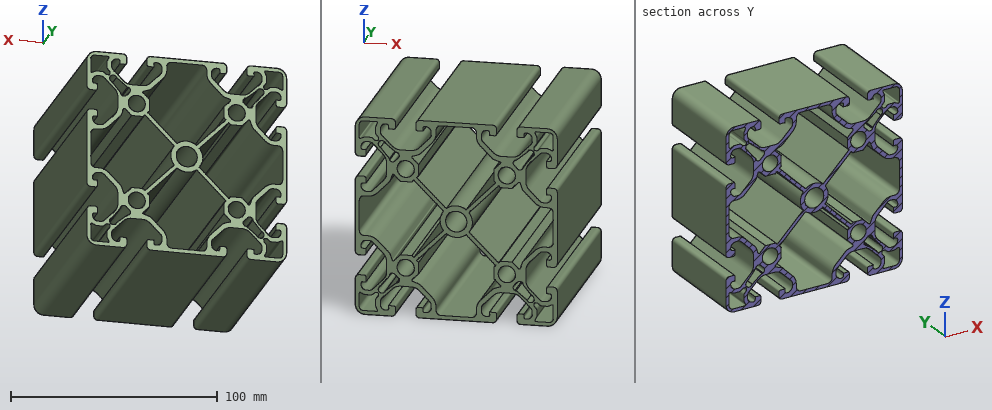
import cadquery as cq
import math

size = 100.0
half = size / 2
outer_corner_radius = 5.0
wall = 2.0

hub_offset = 25.0
hub_bore_diameter = 8.5
hub_half_width = 6.4
hub_web_reach = 9.5
center_bore_diameter = 10.5
center_ring_diameter = 16.0
web_thickness = 2.0

slot_half_opening = 5.0
lip_depth = 5.3
mouth_radius = 2.0
lip_radius = 1.0
mouth_clearance = 1.0
hook_half_width = 8.5
undercut_depth = 2.9
undercut_top_radius = 2.8
undercut_corner_radius = 1.0
slot_half_width = 12.6
slot_bend_radius = 2.5
slot_depth = 15.5
slot_floor_radius = 5.8
slot_flank_reach = 20.5

arm_half_width = 15.0
arm_flank_reach = 24.0
arm_floor_depth = 17.2
arm_bend_radius = 7.0
arm_floor_radius = 4.0
chamber_wall_radius = 2.5
chamber_notch_depth = 18.6
chamber_notch_radius = 0.5

pocket_corner_radius = 2.0
pocket_shoulder = 11.3
pocket_shoulder_radius = 0.5
pocket_waist = 10.1
pocket_waist_start = 4.6
pocket_waist_end = 8.3
pocket_waist_radius = 1.8
pocket_tip = 11.5
pocket_tip_bend = 9.8
pocket_tip_bend_radius = 1.0
pocket_tip_radius = 0.6

channel_end_radius = 1.8
channel_end_center = 13.2
channel_neck_half_width = 1.6
channel_floor_start = 20.3
channel_floor_depth = 17.0
channel_bend_radius = 2.0
channel_notch_radius = 1.5

hub_half_side = hub_half_width * math.tan(math.pi / 8)


def rounded_outline(corners):
    """Closed outline through (x, z, radius) corners; a radius of zero keeps the corner sharp."""
    count = len(corners)
    path = None
    for i, (x, z, radius) in enumerate(corners):
        corner = cq.Vector(x, z)
        before = (cq.Vector(*corners[i - 1][:2]) - corner).normalized()
        after = (cq.Vector(*corners[(i + 1) % count][:2]) - corner).normalized()
        half_angle = before.getAngle(after) / 2
        setback = radius / math.tan(half_angle)
        start = corner + before * setback
        if path is None:
            path = cq.Workplane("XZ").moveTo(start.x, start.y)
        else:
            path = path.lineTo(start.x, start.y)
        if radius > 0:
            bisector = (before + after).normalized()
            middle = corner + bisector * (radius / math.sin(half_angle) - radius)
            end = corner + after * setback
            path = path.threePointArc((middle.x, middle.y), (end.x, end.y))
    return path.close()


def prism(outline):
    """Outline run along the full length of the part."""
    return outline.extrude(half, both=True)


def around_axis(body):
    """The body and its three copies at quarter turns about the Y axis."""
    copies = body
    for turn in (90, 180, 270):
        copies = copies.union(body.rotate((0, 0, 0), (0, 1, 0), turn))
    return copies


def across_middle(corners):
    """Reflections of the corners in x = 0, in reverse order."""
    return [(-x, z, radius) for x, z, radius in reversed(corners)]


def slot_cutter():
    """Eight T-slots with rounded mouths, two on each side."""
    mouth_half_width = slot_half_opening + mouth_radius + mouth_clearance
    profile = [
        (mouth_half_width, -mouth_clearance, 0),
        (mouth_half_width, 0, 0),
        (slot_half_opening, 0, mouth_radius),
        (slot_half_opening, lip_depth, lip_radius),
        (hook_half_width, lip_depth, 0),
        (hook_half_width, undercut_depth, undercut_corner_radius),
        (slot_half_width, undercut_depth, undercut_top_radius),
        (slot_half_width, slot_flank_reach - slot_half_width, slot_bend_radius),
        (slot_flank_reach - slot_depth, slot_depth, slot_floor_radius),
    ]
    one_side = [(x, half - depth, radius) for x, depth, radius in profile]
    one_slot = prism(rounded_outline(one_side + across_middle(one_side)))
    left = one_slot.translate((-hub_offset, 0, 0))
    right = one_slot.translate((hub_offset, 0, 0))
    return around_axis(left.union(right))


def chamber_cutter():
    """Four side chambers, meeting at the middle of the part."""
    hub_chamfer_reach = hub_half_width + hub_half_side
    notch_x = hub_chamfer_reach - (hub_offset - chamber_notch_depth)
    from_hub = [
        (arm_half_width, wall, chamber_wall_radius),
        (arm_half_width, arm_flank_reach - arm_half_width, arm_bend_radius),
        (arm_flank_reach - arm_floor_depth, arm_floor_depth, arm_floor_radius),
        (notch_x, chamber_notch_depth, chamber_notch_radius),
        (hub_half_width, hub_offset - hub_half_side, 0),
        (hub_half_width, hub_offset + hub_web_reach - hub_half_width, 0),
        (hub_web_reach / 2, hub_offset + hub_web_reach / 2, 0),
    ]
    profile = [(x - hub_offset, half - depth, radius) for x, depth, radius in from_hub]
    outline = profile + [(0, 0, 0)] + across_middle(profile)
    return around_axis(prism(rounded_outline(outline)))


def across_diagonal(corners):
    """Reflections of the corners in the corner diagonal, in reverse order."""
    return [(z, x, radius) for x, z, radius in reversed(corners)]


def from_corner(corners):
    """Corners measured inward from the top left corner, as part coordinates."""
    return [(x - half, half - z, radius) for x, z, radius in corners]


def corner_pocket_cutter():
    """Waisted hollows behind the four outer corners."""
    one_side = [
        (pocket_shoulder, wall, pocket_shoulder_radius),
        (pocket_waist, pocket_waist_start, pocket_waist_radius),
        (pocket_waist, pocket_waist_end, pocket_waist_radius),
        (pocket_tip, pocket_tip_bend, pocket_tip_bend_radius),
    ]
    outline = [(wall, wall, pocket_corner_radius)]
    outline += one_side
    outline.append((pocket_tip, pocket_tip, pocket_tip_radius))
    outline += across_diagonal(one_side)
    return around_axis(prism(rounded_outline(from_corner(outline))))


def channel_cutter():
    """Diagonal channels from the corner pockets to the chamfer faces of the hubs."""
    hub_face_sum = 2 * hub_offset - hub_half_width - hub_half_side
    neck_offset = channel_neck_half_width / math.sqrt(2)
    floor = channel_floor_depth
    one_side = [
        (channel_end_center + neck_offset, channel_end_center - neck_offset, 0),
        (channel_floor_start, floor, channel_bend_radius),
        (hub_face_sum - floor, floor, channel_notch_radius),
    ]
    body = prism(rounded_outline(from_corner(one_side + across_diagonal(one_side))))
    end = prism(
        cq.Workplane("XZ")
        .center(channel_end_center - half, half - channel_end_center)
        .circle(channel_end_radius)
    )
    return around_axis(body.union(end))


def webs_and_ring():
    """Diagonal webs joining the hubs to a ring on the central axis."""
    span = 2 * math.sqrt(2) * hub_offset
    web = prism(cq.Workplane("XZ").rect(span, web_thickness))
    ring = prism(cq.Workplane("XZ").circle(center_ring_diameter / 2))
    for angle in (45, 135):
        ring = ring.union(web.rotate((0, 0, 0), (0, 1, 0), angle))
    return ring


def bores():
    """Round holes through the four hubs and the central ring."""
    hubs = prism(
        cq.Workplane("XZ")
        .rect(2 * hub_offset, 2 * hub_offset, forConstruction=True)
        .vertices()
        .circle(hub_bore_diameter / 2)
    )
    return hubs.union(prism(cq.Workplane("XZ").circle(center_bore_diameter / 2)))


block = prism(cq.Workplane("XZ").rect(size, size))
block = block.edges("|Y").fillet(outer_corner_radius)
for cutter in (chamber_cutter(), slot_cutter(), corner_pocket_cutter(), channel_cutter()):
    block = block.cut(cutter)
block = block.union(webs_and_ring())
result = block.cut(bores())